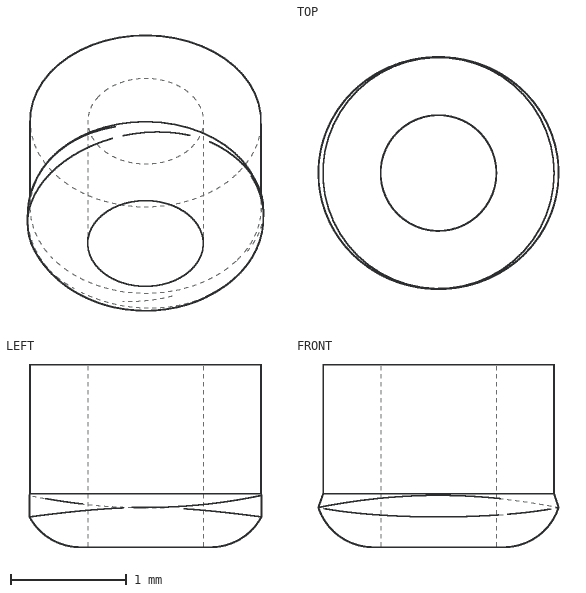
import cadquery as cq

HEIGHT = 1.58
BODY_DIAMETER = 2.0
BORE_DIAMETER = 1.0
BULGE_WIDTH_X = 2.08
BULGE_WIDTH_Y = 2.01

END_FACE_RADIUS = 0.57
BULGE_TOP_Z = 0.465
BULGE_WIDEST_Z = 0.345
ROUNDING_MIDPOINT = (0.895, 0.125)

BODY_RADIUS = BODY_DIAMETER / 2
BULGE_RADIUS_X = BULGE_WIDTH_X / 2
BULGE_RADIUS_Y = BULGE_WIDTH_Y / 2


def turned_body():
    """Cylinder whose lower end swells slightly, then rounds in to the flat end face."""
    profile = (
        cq.Workplane("XZ")
        .lineTo(END_FACE_RADIUS, 0)
        .threePointArc(ROUNDING_MIDPOINT, (BULGE_RADIUS_X, BULGE_WIDEST_Z))
        .lineTo(BODY_RADIUS, BULGE_TOP_Z)
        .lineTo(BODY_RADIUS, HEIGHT)
        .lineTo(0, HEIGHT)
        .close()
    )
    return profile.revolve(360, (0, 0, 0), (0, 1, 0))


def bulge_limit():
    """Elliptical envelope that keeps the bulge wide along X and slim along Y."""
    return cq.Workplane("XY").ellipse(BULGE_RADIUS_X, BULGE_RADIUS_Y).extrude(HEIGHT)


def bore():
    """Straight central hole through the full height."""
    return cq.Workplane("XY").circle(BORE_DIAMETER / 2).extrude(HEIGHT)


result = turned_body().intersect(bulge_limit()).cut(bore())